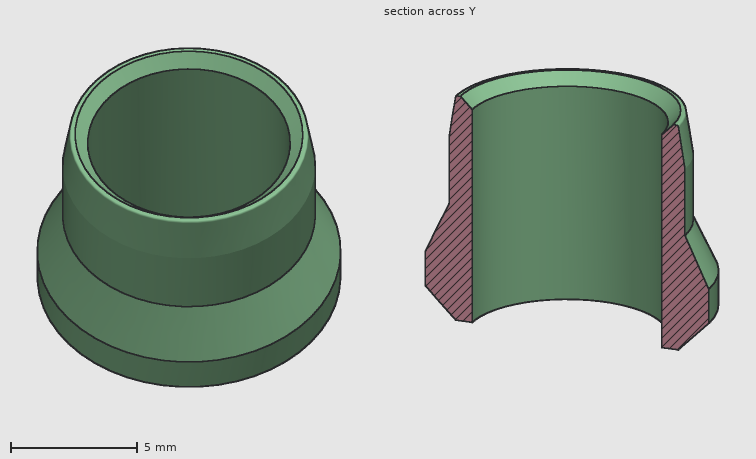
import cadquery as cq
import math

height = 9.5
collar_radius = 12 / 2
sleeve_radius = 10.0 / 2
bore_radius = 8.0 / 2

base_bevel = 1.3
collar_top = 2.75
shoulder_top = 4.88
sleeve_top = 7.69

nose_half_angle = 9.0
rim_round = 0.1
mouth_radius = 9 / 2

nose_radius = sleeve_radius - (height - sleeve_top) * math.tan(math.radians(nose_half_angle))
mouth_depth = mouth_radius - bore_radius

profile = (
    cq.Workplane("XZ")
    .moveTo(bore_radius, 0)
    .lineTo(collar_radius - base_bevel, 0)
    .lineTo(collar_radius, base_bevel)
    .lineTo(collar_radius, collar_top)
    .lineTo(sleeve_radius, shoulder_top)
    .lineTo(sleeve_radius, sleeve_top)
    .lineTo(nose_radius, height)
    .lineTo(mouth_radius, height)
    .lineTo(bore_radius, height - mouth_depth)
    .close()
)
body = profile.revolve(360, (0, 0, 0), (0, 1, 0))

rim_edge = cq.selectors.RadiusNthSelector(-1)
result = body.faces(">Z").edges(rim_edge).fillet(rim_round)